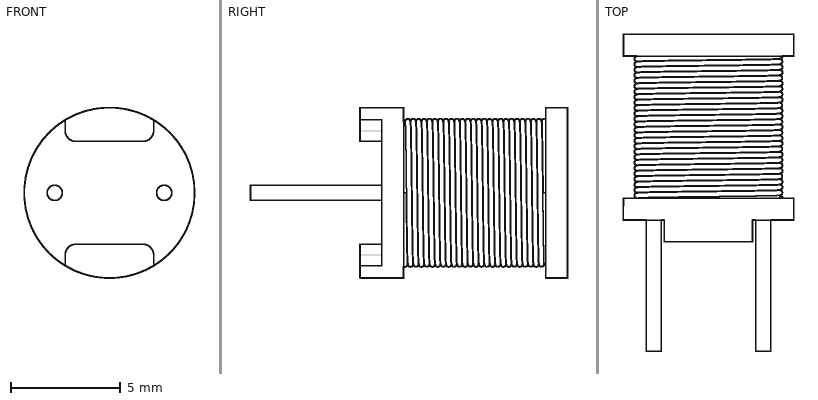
import cadquery as cq

total_length = 14.5
flange_diameter = 7.8
flange_thickness = 1.0
pin_length = 6.0
pin_diameter = 0.7
pin_spacing = 5.0
foot_width = 4.05
foot_height = 1.0
foot_inner_offset = 2.35
foot_corner_radius = 0.5

turns = 26
wire_diameter = 0.23
winding_diameter = 6.79
core_diameter = 6.52

bobbin_length = total_length - pin_length
winding_length = bobbin_length - 2 * flange_thickness
winding_pitch = winding_length / turns
coil_radius = (winding_diameter - wire_diameter) / 2
embed = flange_thickness / 2


def cylinder(diameter, start, length, x=0):
    """Cylinder along +Y, starting at Y = start."""
    base = cq.Workplane("XZ", origin=(x, start, 0))
    return base.circle(diameter / 2).extrude(-length)


def make_foot(side):
    """Rounded pad on the lower flange, cut off by the flange rim; side is +1 or -1 along Z."""
    radial_size = flange_diameter / 2
    block = (
        cq.Workplane("XY")
        .box(foot_width, foot_height + embed, radial_size)
        .edges("|Y and <Z" if side > 0 else "|Y and >Z")
        .fillet(foot_corner_radius)
        .translate((
            0,
            (embed - foot_height) / 2,
            side * (foot_inner_offset + radial_size / 2),
        ))
    )
    return block.intersect(cylinder(flange_diameter, -foot_height, bobbin_length))


def make_wire():
    """Right-handed coil of round wire whose ends are buried in the flanges."""
    path = cq.Wire.makeHelix(winding_pitch, winding_length, coil_radius)
    coil = (
        cq.Workplane("XZ", origin=(coil_radius, 0, 0))
        .circle(wire_diameter / 2)
        .sweep(cq.Workplane(path), isFrenet=True)
    )
    return coil.rotate((0, 0, 0), (1, 0, 0), -90).translate((0, flange_thickness, 0))


result = cylinder(core_diameter, 0, bobbin_length).union(make_wire())
for flange_start in (0, bobbin_length - flange_thickness):
    result = result.union(cylinder(flange_diameter, flange_start, flange_thickness))
for side in (-1, 1):
    result = result.union(make_foot(side))
    pin_x = side * pin_spacing / 2
    result = result.union(cylinder(pin_diameter, -pin_length, pin_length + embed, pin_x))